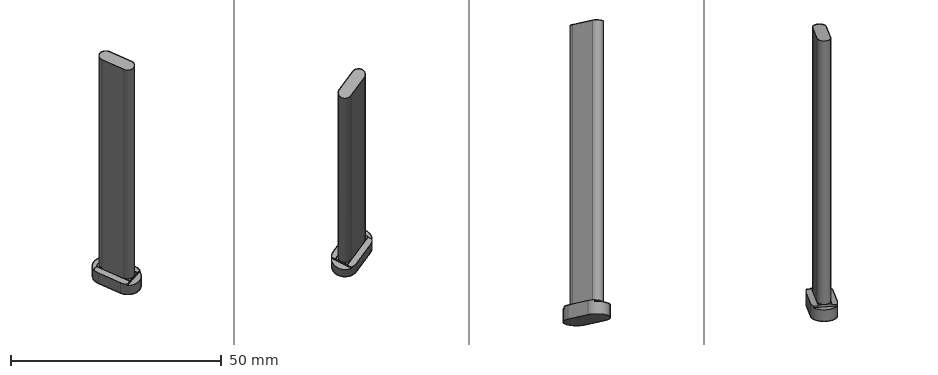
import cadquery as cq

total_height = 73.0
head_length = 12.6
head_width = 6.5

blade_width = 3.3
blade_length = head_length - head_width + blade_width

end_level = 3.1
side_level = 3.5
seat_level = 3.7


def rounded_bar(length, width, height):
    """Upright bar with full-round ends, standing on the base plane."""
    return cq.Workplane("XY").slot2D(length, width).extrude(height)


def seat_block(width, height):
    """Upright rectangular block as long as the blade, standing on the base plane."""
    return cq.Workplane("XY").rect(blade_length, width).extrude(height)


head_ends = rounded_bar(head_length, head_width, end_level)
head_middle = rounded_bar(head_length, head_width, side_level).intersect(
    seat_block(head_width, side_level)
)

seat = seat_block(blade_width, seat_level)

blade = rounded_bar(blade_length, blade_width, total_height)

result = head_ends.union(head_middle).union(seat).union(blade)